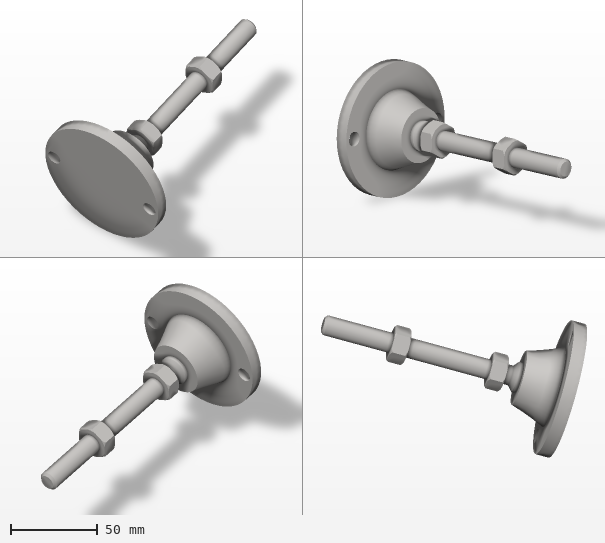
import cadquery as cq
import math

plate_diameter = 80.0
plate_thickness = 8.0
hole_diameter = 8.7
hole_spacing = 67.3

hub_base_radius = 23.8
hub_top_radius = 16.2
hub_top = 28.8
hub_flank_sag = 0.5

collar_radius = 9.0
collar_top = 31.0
collar_taper_top = 33.8

rod_radius = 5.9
rod_end = 147.0
rod_chamfer = 1.5

nut_across_flats = 19.0
nut_chamfer_length = 1.0
nut_chamfer_width = 1.2
lower_nut_start = 37.8
lower_nut_height = 9.3
upper_nut_start = 96.5
upper_nut_height = 9.7


def revolve_about_y(profile):
    return profile.close().revolve(360, (0, 0, 0), (0, 1, 0))


def make_foot_and_rod():
    """Plate, concave hub, collar and rod turned from one half profile."""
    flank_middle = (
        (hub_base_radius + hub_top_radius) / 2 - hub_flank_sag,
        (plate_thickness + hub_top) / 2,
    )
    profile = (
        cq.Workplane("XY")
        .lineTo(plate_diameter / 2, 0)
        .lineTo(plate_diameter / 2, plate_thickness)
        .lineTo(hub_base_radius, plate_thickness)
        .threePointArc(flank_middle, (hub_top_radius, hub_top))
        .lineTo(collar_radius, hub_top)
        .lineTo(collar_radius, collar_top)
        .lineTo(rod_radius, collar_taper_top)
        .lineTo(rod_radius, rod_end - rod_chamfer)
        .lineTo(rod_radius - rod_chamfer, rod_end)
        .lineTo(0, rod_end)
    )
    return revolve_about_y(profile)


def make_nut(start, height):
    """Hexagon with corners along Z, its corners bevelled at both ends."""
    corner_radius = nut_across_flats / math.sqrt(3)
    end_radius = corner_radius - nut_chamfer_width
    end = start + height
    corners = [
        (corner_radius * math.sin(math.radians(angle)), corner_radius * math.cos(math.radians(angle)))
        for angle in range(0, 360, 60)
    ]
    hexagon = cq.Workplane("XZ", origin=(0, start, 0)).polyline(corners).close().extrude(-height)
    bevel_envelope = revolve_about_y(
        cq.Workplane("XY")
        .moveTo(0, start)
        .lineTo(end_radius, start)
        .lineTo(corner_radius, start + nut_chamfer_length)
        .lineTo(corner_radius, end - nut_chamfer_length)
        .lineTo(end_radius, end)
        .lineTo(0, end)
    )
    return hexagon.intersect(bevel_envelope)


def make_mounting_holes():
    """Cutters for the two holes through the plate."""
    return (
        cq.Workplane("XZ")
        .pushPoints([(-hole_spacing / 2, 0), (hole_spacing / 2, 0)])
        .circle(hole_diameter / 2)
        .extrude(-plate_thickness)
    )


result = (
    make_foot_and_rod()
    .union(make_nut(lower_nut_start, lower_nut_height))
    .union(make_nut(upper_nut_start, upper_nut_height))
    .cut(make_mounting_holes())
)